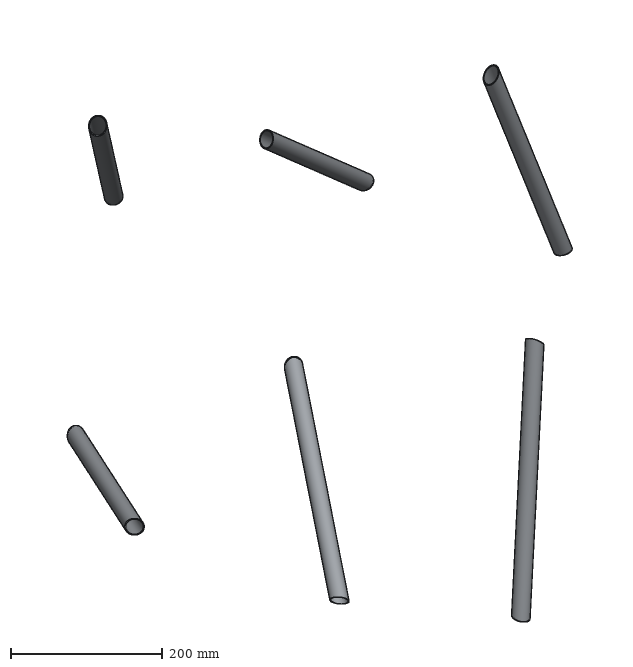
import cadquery as cq

outer_diameter = 25.0
wall = 1.5
axis_run_x = 28.5
axis_run_y = -144.3
axis_rise = 343.5

upper_cut_normal = cq.Vector(0, -1.42, 1)
lower_cut_normal = cq.Vector(0.15, 0.15, -1)

trim_allowance = 35.8
cutter_size = 143.2

lower_center = cq.Vector(0, 0, 0)
upper_center = cq.Vector(axis_run_x, axis_run_y, axis_rise)
axis = (upper_center - lower_center).normalized()


def make_long_tube():
    """Square-ended tube, longer than the finished part at both ends."""
    start = lower_center - axis * trim_allowance
    length = (upper_center - lower_center).Length + 2 * trim_allowance
    inner_diameter = outer_diameter - 2 * wall
    return (
        cq.Workplane(cq.Plane(origin=start, normal=axis))
        .circle(outer_diameter / 2)
        .circle(inner_diameter / 2)
        .extrude(length)
    )


def end_cutter(center, outward_normal):
    """Block covering everything outside an end plane."""
    return (
        cq.Workplane(cq.Plane(origin=center, normal=outward_normal))
        .rect(cutter_size, cutter_size)
        .extrude(cutter_size)
    )


result = (
    make_long_tube()
    .cut(end_cutter(upper_center, upper_cut_normal))
    .cut(end_cutter(lower_center, lower_cut_normal))
)